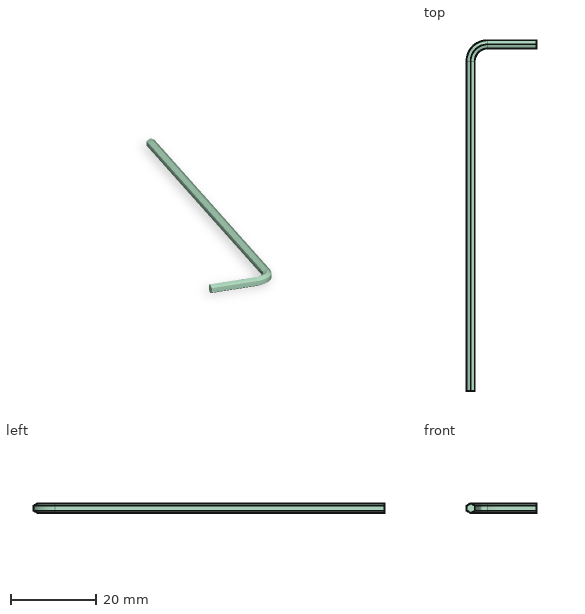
import cadquery as cq
import math

overall_length = 82.2
overall_width = 16.4
across_corners = 2.3
outer_bend_radius = 4.9

across_flats = across_corners * math.cos(math.pi / 6)
half_flats = across_flats / 2
bend_radius = outer_bend_radius - half_flats

short_arm_y = overall_length - half_flats
short_arm_end_x = overall_width - half_flats
bend_start_y = short_arm_y - bend_radius
arc_mid_offset = bend_radius * math.sin(math.pi / 4)

centreline = (
    cq.Workplane("XY")
    .lineTo(0, bend_start_y)
    .threePointArc(
        (bend_radius - arc_mid_offset, bend_start_y + arc_mid_offset),
        (bend_radius, short_arm_y),
    )
    .lineTo(short_arm_end_x, short_arm_y)
)

hexagon = cq.Workplane("XZ").transformed(rotate=(0, 0, 90)).polygon(6, across_corners)

result = hexagon.sweep(centreline)